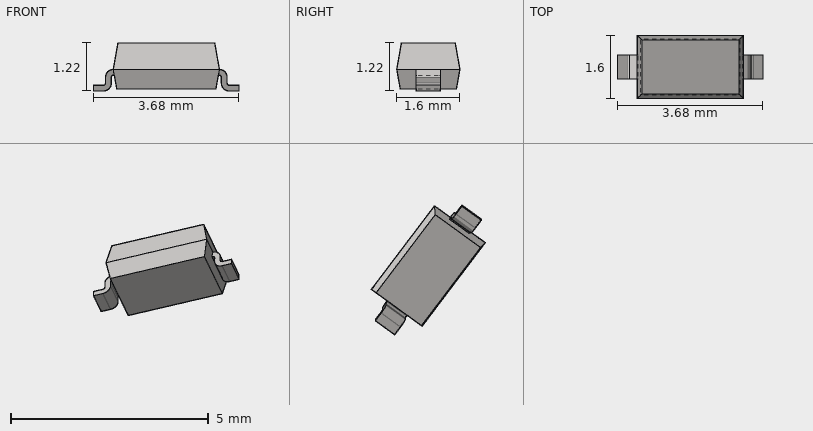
import cadquery as cq
import math

overall_length = 3.68
overall_height = 1.22

body_length = 2.685
body_width = 1.6
body_bottom = 0.05
parting_height = 0.552
draft_angle = 10.0

lead_width = 0.61
lead_thickness = 0.15
inner_bend_radius = 0.05
outer_bend_radius = inner_bend_radius + lead_thickness
lead_embed = 0.147
upper_bend_spacing = 2.67


def make_body_half(height):
    """Rectangular frustum rising (or falling) from the parting plane."""
    return (
        cq.Workplane("XY")
        .workplane(offset=parting_height)
        .rect(body_length, body_width)
        .extrude(height, taper=draft_angle)
    )


def make_body():
    upper_half = make_body_half(overall_height - parting_height)
    lower_half = make_body_half(body_bottom - parting_height)
    return upper_half.union(lower_half)


def make_left_lead():
    """S-shaped strip running from the foot tip up into the body at the parting plane."""
    foot_tip_x = -overall_length / 2
    upper_bend_x = -upper_bend_spacing / 2
    upper_bend_z = parting_height - outer_bend_radius
    shank_outer_x = upper_bend_x - outer_bend_radius
    shank_inner_x = upper_bend_x - inner_bend_radius
    lower_bend_x = shank_outer_x - inner_bend_radius
    lower_bend_z = outer_bend_radius
    embedded_end_x = upper_bend_x + lead_embed

    outer_mid = outer_bend_radius * math.sqrt(0.5)
    inner_mid = inner_bend_radius * math.sqrt(0.5)

    profile = (
        cq.Workplane("XZ")
        .moveTo(foot_tip_x, 0)
        .lineTo(lower_bend_x, 0)
        .threePointArc((lower_bend_x + outer_mid, lower_bend_z - outer_mid), (shank_inner_x, lower_bend_z))
        .lineTo(shank_inner_x, upper_bend_z)
        .threePointArc(
            (upper_bend_x - inner_mid, upper_bend_z + inner_mid),
            (upper_bend_x, parting_height - lead_thickness),
        )
        .lineTo(embedded_end_x, parting_height - lead_thickness)
        .lineTo(embedded_end_x, parting_height)
        .lineTo(upper_bend_x, parting_height)
        .threePointArc((upper_bend_x - outer_mid, upper_bend_z + outer_mid), (shank_outer_x, upper_bend_z))
        .lineTo(shank_outer_x, lower_bend_z)
        .threePointArc((lower_bend_x + inner_mid, lower_bend_z - inner_mid), (lower_bend_x, lead_thickness))
        .lineTo(foot_tip_x, lead_thickness)
        .close()
    )
    return profile.extrude(lead_width / 2, both=True)


left_lead = make_left_lead()
right_lead = left_lead.mirror("YZ")

result = make_body().union(left_lead).union(right_lead)